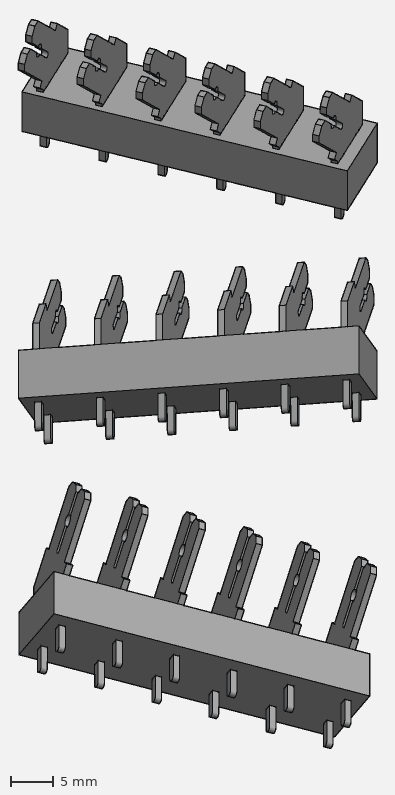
import cadquery as cq
import math

housing_length = 41.5
housing_depth = 9.8
housing_height = 6.0

contact_count = 6
contact_pitch = 7.5
contact_thickness = 0.85

root_half_depth = 4.05

fork_angle = math.radians(45)
shoulder_center_y = -2.3
shoulder_center_z = housing_height + 4.25
shoulder_half_width = 4.0
fork_half_width = 3.1
fork_length = 8.7
tip_chamfer = 0.75

slot_half_width = 0.353
slot_end_center = 0.7
eye_position = 4.4
eye_radius = 0.8

tail_spacing = 5.0
tail_width = 1.0
tail_length = 3.4
tail_end_radius = 0.45


def fork_point(along, across):
    """Y, Z of a point along the fork from the shoulders and across it, upper side positive."""
    cosine = math.cos(fork_angle)
    sine = math.sin(fork_angle)
    y = shoulder_center_y - along * cosine + across * sine
    z = shoulder_center_z + along * sine + across * cosine
    return y, z


def prong_tip(side):
    """Chamfered tip of one prong, listed from its outer edge to the slot."""
    outer = side * fork_half_width
    inner = side * slot_half_width
    chamfer = side * tip_chamfer
    return [
        fork_point(fork_length - tip_chamfer, outer),
        fork_point(fork_length, outer - chamfer),
        fork_point(fork_length, inner + chamfer),
        fork_point(fork_length - tip_chamfer, inner),
    ]


def shoulder(side):
    """Step from the wide shoulder in to the fork edge."""
    return [
        fork_point(0, side * shoulder_half_width),
        fork_point(0, side * fork_half_width),
    ]


def root_corner(y, side):
    """Where the shoulder edge on the given side meets the vertical root edge at y."""
    edge_y, edge_z = fork_point(0, side * shoulder_half_width)
    return y, edge_z - (y - edge_y) * math.tan(fork_angle)


def make_blade(center_x):
    """Flat bent blade with its slotted fork, resting on top of the housing."""
    upper_side = [
        (-root_half_depth, housing_height),
        (root_half_depth, housing_height),
        root_corner(root_half_depth, 1),
        *shoulder(1),
        *prong_tip(1),
        fork_point(slot_end_center, slot_half_width),
    ]
    slot_bottom = fork_point(slot_end_center - slot_half_width, 0)
    slot_lower_corner = fork_point(slot_end_center, -slot_half_width)
    lower_side = [
        *reversed(prong_tip(-1)),
        *reversed(shoulder(-1)),
        root_corner(-root_half_depth, -1),
    ]

    plane = cq.Workplane("YZ", origin=(center_x - contact_thickness / 2, 0, 0))
    outline = plane.polyline(upper_side).threePointArc(slot_bottom, slot_lower_corner)
    for corner in lower_side:
        outline = outline.lineTo(*corner)
    blade = outline.close().extrude(contact_thickness)

    eye = plane.center(*fork_point(eye_position, 0)).circle(eye_radius).extrude(contact_thickness)
    return blade.cut(eye)


def make_tail(center_x, center_y):
    """Straight solder tail with its lower end rounded at front and back."""
    height = housing_height + tail_length
    return (
        cq.Workplane("XY", origin=(center_x, center_y, -tail_length))
        .box(contact_thickness, tail_width, height, centered=(True, True, False))
        .edges("<Z and |X")
        .fillet(tail_end_radius)
    )


def make_contact(center_x):
    """One contact: a forked blade and its two solder tails in a single piece."""
    contact = make_blade(center_x)
    for tail_y in (-tail_spacing / 2, tail_spacing / 2):
        contact = contact.union(make_tail(center_x, tail_y))
    return contact


def make_housing():
    """Plain block with a through hole for every solder tail."""
    block = cq.Workplane("XY").box(
        housing_length, housing_depth, housing_height, centered=(True, True, False)
    )
    tail_holes = (
        cq.Workplane("XY")
        .rarray(contact_pitch, tail_spacing, contact_count, 2)
        .rect(contact_thickness, tail_width)
        .extrude(housing_height)
    )
    return block.cut(tail_holes)


housing = make_housing()

contacts = []
for index in range(contact_count):
    contact_x = (index - (contact_count - 1) / 2) * contact_pitch
    contacts.append(make_contact(contact_x))

result = cq.Compound.makeCompound([housing.val(), *[contact.val() for contact in contacts]])